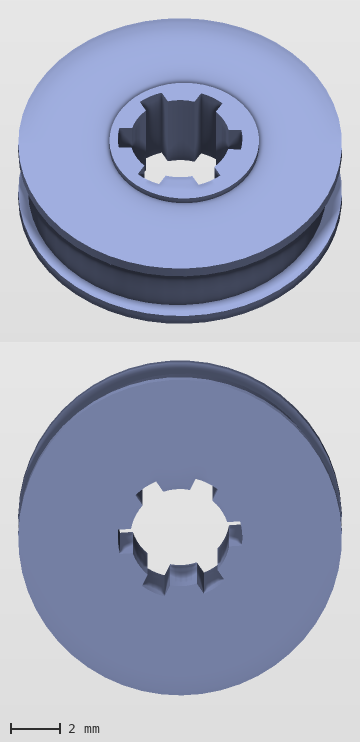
import cadquery as cq

flange_diameter = 13.0
flange_thickness = 0.5
drum_diameter = 12.0
drum_height = 2.51
drum_offset = -0.13
hub_diameter = 6.0
hub_height = 0.3
hub_offset = 0.2

bore_diameter = 4.0
spline_diameter = 5.0
spline_width = 1.0
spline_slot_count = 6

drum_bottom = flange_thickness
upper_flange_bottom = drum_bottom + drum_height
hub_bottom = upper_flange_bottom + flange_thickness
total_height = hub_bottom + hub_height


def disc(diameter, height, bottom=0, x_offset=0):
    """Upright cylinder starting at the given level."""
    return (
        cq.Workplane("XY", origin=(x_offset, 0, bottom))
        .circle(diameter / 2)
        .extrude(height)
    )


def splined_bore():
    """Through bore with evenly spaced slots, one pair lying along Y."""
    slots = cq.Workplane("XY")
    slot_pair = cq.Workplane("XY").rect(spline_width, flange_diameter).extrude(total_height)
    for i in range(spline_slot_count // 2):
        angle = i * 360 / spline_slot_count
        slots = slots.add(slot_pair.rotate((0, 0, 0), (0, 0, 1), angle))
    slots = slots.combine().intersect(disc(spline_diameter, total_height))
    return slots.union(disc(bore_diameter, total_height))


lower_flange = disc(flange_diameter, flange_thickness)
drum = disc(drum_diameter, drum_height, drum_bottom, drum_offset)
upper_flange = disc(flange_diameter, flange_thickness, upper_flange_bottom)
hub = disc(hub_diameter, hub_height, hub_bottom, hub_offset)

body = lower_flange.union(drum).union(upper_flange).union(hub)
result = body.cut(splined_bore())